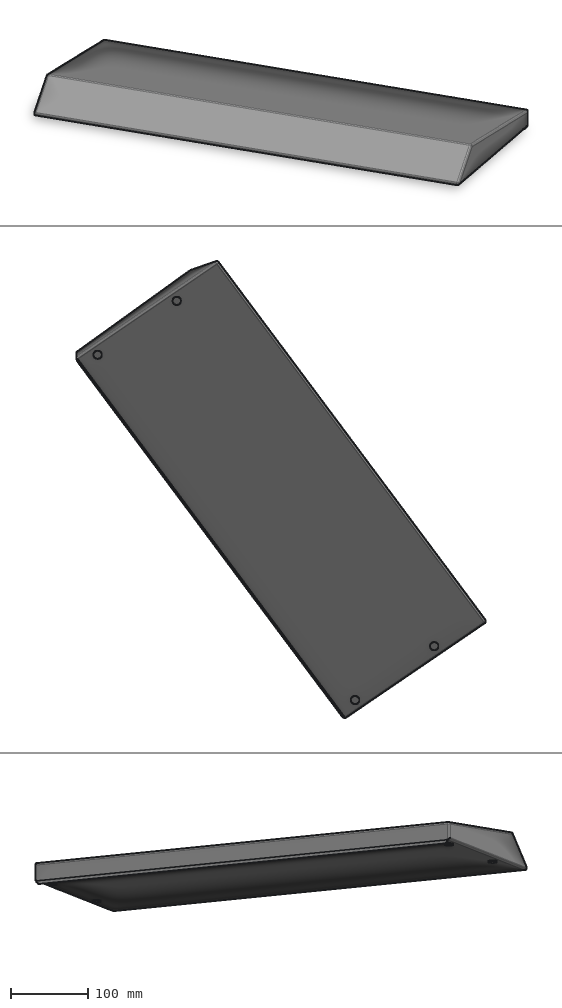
import cadquery as cq
import math

length = 600.0
depth = 225.37
height = 47.35

base_z = 4.7
top_slope_angle = 6.0
front_slope_angle = 42.5
edge_radius = 3.0

lip_thickness = 1.5
lip_corner_chamfer = 2.7

foot_diameter = 11.0
foot_height = 1.5
foot_end_inset = 13.5
foot_rear_inset = 26.0
foot_row_spacing = 125.5
foot_rows = 2

rear_y = depth / 2
front_y = -depth / 2

top_slope = math.radians(top_slope_angle)
front_slope = math.radians(front_slope_angle)
tip_overshoot = edge_radius / math.tan(front_slope / 2) - edge_radius
ridge_overshoot = edge_radius * (
    math.cos((front_slope - top_slope) / 2) / math.cos((front_slope + top_slope) / 2) - 1
)
tip_y = front_y - tip_overshoot
ridge_z = height + ridge_overshoot
ridge_y = tip_y + (ridge_z - base_z) / math.tan(front_slope)
rear_top_z = ridge_z - (rear_y - ridge_y) * math.tan(top_slope)


def make_lip():
    """Strip continuing the flat rear face downward, with its lower corners cut off."""
    lip_length = length - 2 * edge_radius
    lip_top_z = base_z + edge_radius
    return (
        cq.Workplane("XY", origin=(0, rear_y - lip_thickness, 0))
        .box(lip_length, lip_thickness, lip_top_z, centered=(True, False, False))
        .edges("|Y and <Z")
        .chamfer(lip_corner_chamfer)
    )


def make_housing():
    """Wedge with every edge rounded except the rear bottom edge, which carries the lip."""
    wedge = (
        cq.Workplane("YZ")
        .polyline([
            (rear_y, base_z),
            (rear_y, rear_top_z),
            (ridge_y, ridge_z),
            (tip_y, base_z),
        ])
        .close()
        .extrude(length / 2, both=True)
    )
    rear_bottom_edge = wedge.faces(">Y").edges("<Z")
    rounded_edges = wedge.edges().filter(lambda edge: not edge.isSame(rear_bottom_edge.val()))
    return rounded_edges.fillet(edge_radius).union(make_lip())


def make_foot(x, y):
    return (
        cq.Workplane("XY", origin=(x, y, base_z))
        .circle(foot_diameter / 2)
        .extrude(-foot_height)
    )


housing = make_housing()

foot_x = length / 2 - foot_end_inset
feet = [
    make_foot(x, rear_y - foot_rear_inset - row * foot_row_spacing)
    for x in (-foot_x, foot_x)
    for row in range(foot_rows)
]

result = cq.Compound.makeCompound([housing.val(), *[foot.val() for foot in feet]])